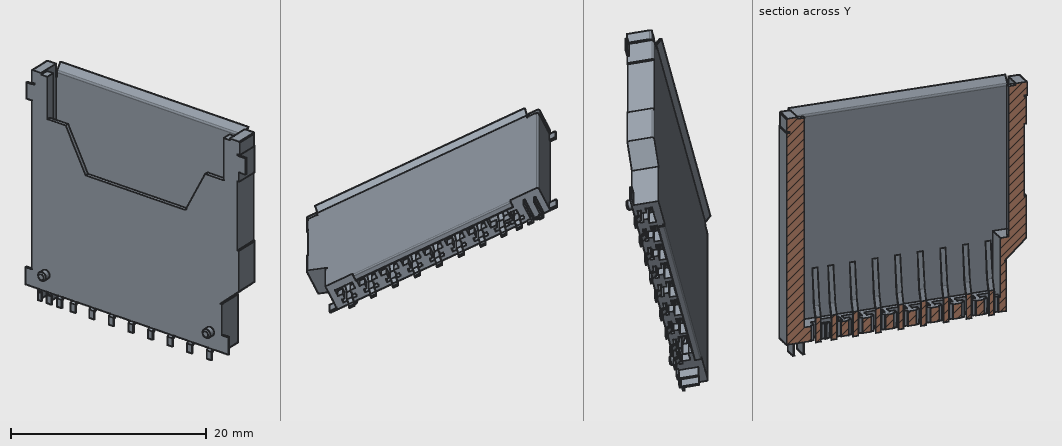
import cadquery as cq


overall_width = 28.03
top_z = 26.35

body_left = 0.78
body_right = 27.22
body_bottom = 1.32
body_shoulder = 24.83
body_depth = 2.8
cover_thickness = 0.22
cover_inner_y = body_depth - cover_thickness
notch_right = 25.03
notch_root = 24.83
notch_low_z = 6.9
notch_high_z = 9.05
recess_depth = 0.2
recess_low_z = 13.73
recess_high_z = 21.7

post_chamfer = 0.08
post_fillet = 0.22
post_right = 27.33
slit_length = 0.35
slit_height = 0.1

tab_thickness = 0.21
tab_height = 2.0
upper_tab_left = 0.1
upper_tab_bottom = 22.8
lower_tab_right = 25.85

mouth_left = 2.0
mouth_right = overall_width - mouth_left
ledge_left = 2.77
ledge_right = overall_width - ledge_left
ledge_y = 1.0
ledge_drop = 0.2
front_wall = 0.42
end_wall = 1.68
cavity_floor = body_bottom + end_wall
cavity_corner_x = 24.33
cavity_corner_z = 9.53

opening_shelf_z = 21.27
opening_bottom_z = 16.3
opening_top_half = 8.89
opening_bottom_half = 6.35

lip_left = 2.07
lip_right = overall_width - lip_left
lip_root_z = 25.37
lip_reach = 0.53
lip_edge_drop = 0.08
lip_edge_depth = 0.17
lip_bend_rise = 0.15
lip_bend_radius = 0.45
flange_left = 3.98
flange_right = 21.92
flange_inner_y = 2.1
flange_bottom = 0.98
flange_thickness = 0.17
flange_fillet = 0.15

contact_pitch = 2.5
first_regular_contact = 8.4
regular_contacts = [first_regular_contact + i * contact_pitch for i in range(7)]
write_contact = 4.3
extra_contact = 6.03
contact_width = 0.6
contact_thickness = 0.2
contact_knee_y = 0.98
contact_tip_y = 1.49
foot_bend_z = 0.78
contact_rise_z = 3.35
contact_knee_z = 5.05
contact_tip_z = 8.97
contact_tip_thickness = 0.05

window_width = 2.0
window_top_y = 2.0
window_bottom_y = 1.3
neck_width = 0.85
slot_width = 1.55
slot_top_y = 0.75
write_window_top_y = 1.6
extra_window_left = 4.77
extra_window_right = 7.05

plate_thickness = 0.2
plate_foot_height = 0.95
plate_bend_radius = 0.17
switch_terminals = [(1.49, 2.02, 0.5), (2.58, 2.21, 0.7)]

peg_xs = (2.58, 23.55)
peg_z = 3.3
peg_radius = 0.5
peg_length = 0.8
peg_chamfer = 0.17


def block(x0, x1, y0, y1, z0, z1):
    """Box between opposite corners."""
    return cq.Workplane("XY").box(x1 - x0, y1 - y0, z1 - z0, centered=False).translate((x0, y0, z0))


def front_profile(points, y0, y1):
    """Outline of (x, z) points filled from depth y0 to depth y1."""
    return cq.Workplane("XZ", origin=(0, y0, 0)).polyline(points).close().extrude(y0 - y1)


def side_profile(points, x0, x1):
    """Outline of (y, z) points filled from x0 to x1."""
    return cq.Workplane("YZ", origin=(x0, 0, 0)).polyline(points).close().extrude(x1 - x0)


def make_body():
    outline = [
        (body_left, body_bottom),
        (notch_right, body_bottom),
        (notch_right, notch_low_z),
        (notch_root, notch_low_z),
        (body_right, notch_high_z),
        (body_right, body_shoulder),
        (body_left, body_shoulder),
    ]
    body = front_profile(outline, 0, body_depth)
    left_edge = cq.selectors.NearestToPointSelector((body_left, body_depth, top_z / 2))
    right_edge = cq.selectors.NearestToPointSelector((body_right, body_depth, top_z / 2))
    body = body.edges(left_edge).fillet(cover_thickness).edges(right_edge).fillet(cover_thickness)
    recess_x = body_right - recess_depth
    return body.cut(block(recess_x, overall_width, 0, body_depth, recess_low_z, recess_high_z))


def make_posts():
    def post(x0, x1, outer):
        blank = block(x0, x1, 0, cover_inner_y, body_shoulder, top_z)
        blank = blank.edges(f"{outer}X and >Z").chamfer(post_chamfer)
        return blank.edges(f"{outer}X and >Y").fillet(post_fillet)

    left = post(body_left, ledge_left, "<")
    right = post(ledge_right, post_right, ">")
    return left.union(right)


def make_slits():
    """Thin gaps between the posts and the tabs below them."""
    z0 = body_shoulder - slit_height
    left = block(body_left, body_left + slit_length, 0, body_depth, z0, body_shoulder)
    right = block(body_right - recess_depth, body_right, 0, body_depth, z0, body_shoulder)
    return left.union(right)


def make_tabs():
    upper_top = upper_tab_bottom + tab_height - slit_height
    lower_top = body_bottom + tab_height
    upper_left = block(upper_tab_left, mouth_left, 0, tab_thickness, upper_tab_bottom, upper_top)
    upper_right = block(mouth_right, overall_width, 0, tab_thickness, upper_tab_bottom, upper_top)
    lower = block(0, lower_tab_right, 0, tab_thickness, body_bottom, lower_top)
    return upper_left.union(upper_right).union(lower)


def make_cavity():
    def pocket(left, right, y0, y1):
        outline = [
            (left, cavity_floor),
            (cavity_corner_x, cavity_floor),
            (cavity_corner_x, cavity_corner_z),
            (right, cavity_corner_z),
            (right, top_z),
            (left, top_z),
        ]
        return front_profile(outline, y0, y1)

    return pocket(mouth_left, mouth_right, ledge_y, cover_inner_y).union(
        pocket(ledge_left, ledge_right, front_wall, ledge_y)
    )


def make_front_opening():
    middle = overall_width / 2
    outline = [
        (ledge_left, top_z),
        (ledge_left, opening_shelf_z),
        (middle - opening_top_half, opening_shelf_z),
        (middle - opening_bottom_half, opening_bottom_z),
        (middle + opening_bottom_half, opening_bottom_z),
        (middle + opening_top_half, opening_shelf_z),
        (ledge_right, opening_shelf_z),
        (ledge_right, top_z),
    ]
    return front_profile(outline, 0, front_wall)


def make_ledge_steps():
    step_z = top_z - ledge_drop
    left = block(mouth_left, ledge_left, 0, ledge_y, step_z, top_z)
    right = block(ledge_right, mouth_right, 0, ledge_y, step_z, top_z)
    return left.union(right)


def make_lip():
    tip_y = body_depth + lip_reach
    tip_z = top_z - lip_edge_drop
    profile = [
        (cover_inner_y, body_shoulder),
        (body_depth, body_shoulder),
        (body_depth, lip_root_z),
        (tip_y, tip_z),
        (tip_y - lip_edge_depth, tip_z + lip_edge_drop),
        (cover_inner_y, lip_root_z + lip_bend_rise),
    ]
    lip = side_profile(profile, lip_left, lip_right)
    bend = cq.selectors.NearestToPointSelector(
        (overall_width / 2, cover_inner_y, lip_root_z + lip_bend_rise)
    )
    return lip.edges(bend).fillet(lip_bend_radius)


def make_flange():
    profile = [
        (body_depth, body_bottom),
        (body_depth, flange_bottom),
        (flange_inner_y, flange_bottom),
        (flange_inner_y, flange_bottom + flange_thickness),
        (cover_inner_y, flange_bottom + flange_thickness),
        (cover_inner_y, body_bottom),
    ]
    flange = side_profile(profile, flange_left, flange_right)
    return flange.edges("|X and >Y and <Z").fillet(flange_fillet)


def make_window(x, left, right, bottom_y, top_y):
    """Opening through the end wall: wide head, narrow neck and a wider foot slot."""

    def opening(x0, x1, low_y, high_y):
        return block(x0, x1, low_y, high_y, body_bottom, cavity_floor)

    head = opening(left, right, bottom_y, top_y)
    neck = opening(x - neck_width / 2, x + neck_width / 2, front_wall, bottom_y)
    slot = opening(x - slot_width / 2, x + slot_width / 2, front_wall, slot_top_y)
    return head.union(neck).union(slot)


def make_windows():
    half_neck = neck_width / 2
    windows = make_window(
        write_contact, write_contact - half_neck, write_contact + half_neck, ledge_y, write_window_top_y
    )
    windows = windows.union(
        make_window(extra_contact, extra_window_left, extra_window_right, ledge_y, window_top_y)
    )
    for x in regular_contacts:
        left = x - window_width / 2
        right = min(x + window_width / 2, cavity_corner_x)
        windows = windows.union(make_window(x, left, right, window_bottom_y, window_top_y))
    return windows


def make_contact(x):
    """Bent strip: solder foot, run along the front wall, then a rising spring arm."""
    strip = contact_thickness
    profile = [
        (0, 0),
        (strip, 0),
        (strip, foot_bend_z),
        (front_wall + strip, body_bottom - strip),
        (front_wall + strip, contact_rise_z),
        (contact_knee_y + strip, contact_knee_z),
        (contact_tip_y + contact_tip_thickness, contact_tip_z),
        (contact_tip_y, contact_tip_z),
        (contact_knee_y, contact_knee_z),
        (front_wall, contact_rise_z),
        (front_wall, body_bottom),
        (0, foot_bend_z + strip),
    ]
    return side_profile(profile, x - contact_width / 2, x + contact_width / 2)


def make_switch_terminal(x, depth, foot_width):
    plate = block(x, x + plate_thickness, 0, depth, 0, body_bottom)
    foot = block(x, x + foot_width, 0, contact_thickness, 0, plate_foot_height)
    return plate.union(foot).edges("|Z and <X and <Y").fillet(plate_bend_radius)


def make_peg(x):
    peg = cq.Workplane("XZ", origin=(x, 0, peg_z)).circle(peg_radius).extrude(peg_length)
    return peg.faces("<Y").chamfer(peg_chamfer)


result = make_body().union(make_posts()).cut(make_slits()).union(make_tabs())
result = result.cut(make_cavity()).cut(make_front_opening()).cut(make_ledge_steps())
result = result.cut(make_windows()).union(make_lip()).union(make_flange())
for contact_x in [write_contact, extra_contact] + regular_contacts:
    result = result.union(make_contact(contact_x))
for terminal in switch_terminals:
    result = result.union(make_switch_terminal(*terminal))
for peg_x in peg_xs:
    result = result.union(make_peg(peg_x))